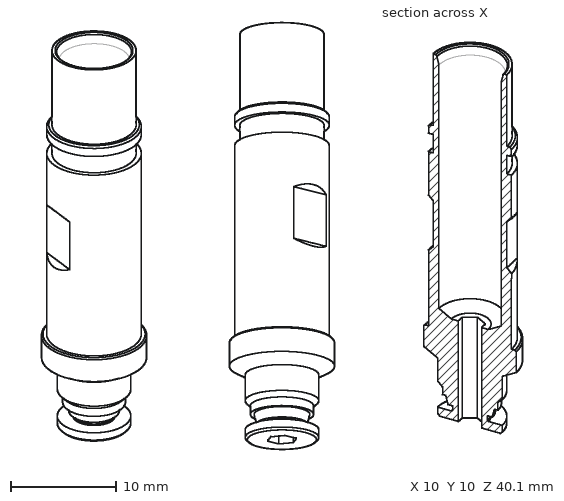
import cadquery as cq
import math

overall_height = 40.1

button_radius = 3.5
button_height = 1.0
button_chamfer = 0.22
neck_radius = 1.9
neck_flare = 0.1
neck_top = 1.55
tip_bottom_radius = 2.4
tip_top_radius = 2.65
tip_top = 2.5
collar_radius = 3.0
collar_top = 3.35
shank_radius = 3.5
shank_chamfer = shank_radius - collar_radius
shank_top = 6.4

flange_radius = 5.0
flange_cone_angle = 30
flange_bottom = shank_top + (flange_radius - shank_radius) * math.tan(math.radians(flange_cone_angle))
flange_top = 9.75
flange_chamfer = 0.15

barrel_radius = 4.5
barrel_top = 29.1
tube_radius = 4.0
ring_bottom = 31.1
ring_top = 32.15
ring_chamfer = 0.2

mouth_radius = 3.7
mouth_chamfer = 0.15
mouth_taper_depth = 1.0
bore_radius = 3.35
bore_bottom = 12.0
seat_radius = 2.0
seat_angle = 30
seat_height = bore_bottom - (bore_radius - seat_radius) * math.tan(math.radians(seat_angle))
hex_across_flats = 2.5

flat_distance = 4.0
flat_length = 5.1
flat_center_height = 21.2
flat_end_slope = 45


def revolved(outline):
    """Turn a radius-height outline about Z, with its seam on the Y axis."""
    return cq.Workplane("YZ").polyline(outline).close().revolve(360, (0, 0, 0), (0, 1, 0))


def outer_body():
    """Turned outside, drawn as radius against height."""
    outline = [
        (0, 0),
        (button_radius - button_chamfer, 0),
        (button_radius, button_chamfer),
        (button_radius, button_height),
        (neck_radius + neck_flare, button_height),
        (neck_radius, button_height + neck_flare),
        (neck_radius, neck_top),
        (tip_bottom_radius, neck_top),
        (tip_top_radius, tip_top),
        (collar_radius, tip_top),
        (collar_radius, collar_top),
        (shank_radius, collar_top + shank_chamfer),
        (shank_radius, shank_top),
        (flange_radius, flange_bottom),
        (flange_radius, flange_top - flange_chamfer),
        (flange_radius - flange_chamfer, flange_top),
        (barrel_radius, flange_top),
        (barrel_radius, barrel_top),
        (tube_radius, barrel_top),
        (tube_radius, ring_bottom),
        (barrel_radius, ring_bottom),
        (barrel_radius, ring_top - ring_chamfer),
        (barrel_radius - ring_chamfer, ring_top),
        (tube_radius, ring_top),
        (tube_radius, overall_height),
        (0, overall_height),
    ]
    return revolved(outline)


def bore():
    """Chamfered and tapered mouth, straight bore and conical seat."""
    outline = [
        (0, seat_height),
        (seat_radius, seat_height),
        (bore_radius, bore_bottom),
        (bore_radius, overall_height - mouth_taper_depth),
        (mouth_radius - mouth_chamfer, overall_height - mouth_chamfer),
        (mouth_radius, overall_height),
        (0, overall_height),
    ]
    return revolved(outline)


def hex_hole():
    """Through hexagon with two of its flats facing -Y and +Y."""
    hex_across_corners = hex_across_flats / math.cos(math.pi / 6)
    return cq.Workplane("XY").polygon(6, hex_across_corners).extrude(overall_height)


def wrench_flat(side):
    """Cutter for one flat on the given side of Y (-1 or +1)."""
    depth = barrel_radius - flat_distance
    inner_half = flat_length / 2
    outer_half = inner_half + depth / math.tan(math.radians(flat_end_slope))
    outline = [
        (side * flat_distance, flat_center_height - inner_half),
        (side * barrel_radius, flat_center_height - outer_half),
        (side * barrel_radius, flat_center_height + outer_half),
        (side * flat_distance, flat_center_height + inner_half),
    ]
    return cq.Workplane("YZ").polyline(outline).close().extrude(barrel_radius, both=True)


result = outer_body().cut(bore()).cut(hex_hole())
for side in (-1, 1):
    result = result.cut(wrench_flat(side))